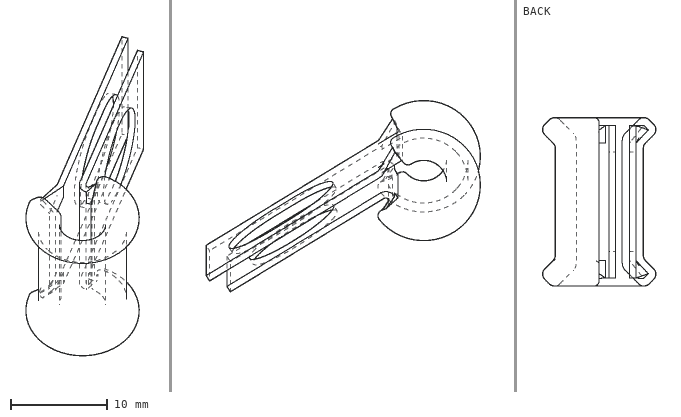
import cadquery as cq
import math


bore_radius = 2.385
wall = 2.2
tube_radius = bore_radius + wall
flare_radius = 5.885
half_height = 8.735
tip_round = 0.75
outer_bend_radius = 0.75
inner_bend_radius = 1.05
end_round = 0.55
tube_sweep = 270
end_extension = 0.63

plate_thickness = 0.68
plate_half_width = 7.9
plate_center = bore_radius + wall / 2
plate_inner = plate_center - plate_thickness / 2
plate_outer = plate_center + plate_thickness / 2
long_plate_end = 24.185
short_plate_end = 22.96
short_plate_face = -1.03
plate_bend_radius = 0.4

tab_root = 6.1
tab_tip_radius = 4.845
long_tab_start = 3.15
short_tab_start = short_plate_face + plate_bend_radius

hole_y = 15.05
hole_diameter = 10.3
slot_length = 12.7

SIN45 = math.sin(math.radians(45))
bend_sag = 1 - SIN45

rim_step = (wall - 2 * tip_round) * SIN45
outer_rim = (flare_radius - tip_round, half_height - tip_round - rim_step)
inner_rim = (outer_rim[0] - rim_step, outer_rim[1] + rim_step)

outer_cone = outer_rim[1] - outer_rim[0] - tip_round / SIN45
inner_cone = outer_cone + wall / SIN45
middle_cone = (outer_cone + inner_cone) / 2


def on_circle(center, radius, degrees):
    """Point on a circle at an angle from the first axis."""
    angle = math.radians(degrees)
    return (center[0] + radius * math.cos(angle), center[1] + radius * math.sin(angle))


def bend(surface_radius, bend_radius, cone):
    """Start, middle and end of the arc from a cylinder into a flare cone."""
    end_radius = surface_radius + bend_radius * bend_sag
    start_height = end_radius + cone - bend_radius * SIN45
    center = (surface_radius + bend_radius, start_height)
    return [on_circle(center, bend_radius, degrees) for degrees in (180, 157.5, 135)]


def wall_section():
    """Closed wall section in the XZ plane, on the +X side of the tube axis."""
    outer_start, outer_middle, outer_end = bend(tube_radius, outer_bend_radius, outer_cone)
    inner_start, inner_middle, inner_end = bend(bore_radius, inner_bend_radius, inner_cone)
    return (
        cq.Workplane("XZ")
        .moveTo(tube_radius, 0)
        .lineTo(*outer_start)
        .threePointArc(outer_middle, outer_end)
        .lineTo(*on_circle(outer_rim, tip_round, -45))
        .threePointArc(on_circle(outer_rim, tip_round, 0), on_circle(outer_rim, tip_round, 45))
        .lineTo(*on_circle(inner_rim, tip_round, 45))
        .threePointArc(on_circle(inner_rim, tip_round, 90), on_circle(inner_rim, tip_round, 135))
        .lineTo(*inner_end)
        .threePointArc(inner_middle, inner_start)
        .lineTo(bore_radius, 0)
        .mirrorX()
    )


def flared_tube():
    """Open tube from the +Y end round to the straight -X end, both ends rounded."""
    arc = wall_section().revolve(tube_sweep, (0, 0, 0), (0, 1, 0))
    arc = arc.rotate((0, 0, 0), (0, 0, 1), 180)
    straight = wall_section().extrude(end_extension).rotate((0, 0, 0), (0, 0, 1), 180)
    tube = arc.union(straight)
    straight_end = tube.faces("+Y").edges().vals()
    curved_end = tube.faces("-X").edges().vals()
    return tube.newObject(straight_end + curved_end).fillet(end_round)


def upper_tab(length):
    """Upper tab lofted from the upright plate edge at y = length to the slanted flare at y = 0."""
    half_x = plate_thickness / 2 * SIN45
    tip_height = tab_tip_radius + middle_cone
    return (
        cq.Workplane("XZ")
        .polyline([
            (-plate_outer, tab_root),
            (-plate_outer, plate_half_width),
            (-plate_inner, plate_half_width),
            (-plate_inner, tab_root),
        ])
        .close()
        .workplane(offset=length)
        .polyline([
            (-plate_outer, tab_root),
            (-tab_tip_radius - half_x, tip_height - half_x),
            (-tab_tip_radius + half_x, tip_height + half_x),
            (-plate_inner, tab_root),
        ])
        .close()
        .loft(ruled=True)
        .translate((0, length, 0))
    )


def both_tabs(length):
    """Upper tab and its mirror image at the lower flare."""
    tab = upper_tab(length)
    return tab.union(tab.mirror("XY"))


def long_plate():
    """Plate leaving the straight tube end along +Y, with a slotted opening."""
    plate_length = long_plate_end - long_tab_start
    tab_length = long_tab_start - end_extension
    plate = (
        cq.Workplane("XY")
        .box(plate_thickness, plate_length, 2 * plate_half_width, centered=(True, False, True))
        .translate((-plate_center, long_tab_start, 0))
    )
    web = (
        cq.Workplane("XY")
        .box(plate_thickness, tab_length, 2 * tab_root, centered=(True, False, True))
        .translate((-plate_center, end_extension, 0))
    )
    slot = (
        cq.Workplane("YZ", origin=(-plate_center, hole_y, 0))
        .slot2D(slot_length, hole_diameter)
        .extrude(plate_thickness, both=True)
    )
    tabs = both_tabs(tab_length).translate((0, end_extension, 0))
    return plate.union(web).union(tabs).cut(slot)


def short_plate():
    """Plate leaving the curved tube end along -X and bending to +Y, with a round hole."""
    outer_face = short_plate_face - plate_thickness
    bend_center = (short_tab_start, plate_outer + plate_bend_radius)
    outside_radius = plate_bend_radius + plate_thickness
    plate = (
        cq.Workplane("XY", origin=(0, 0, -plate_half_width))
        .moveTo(short_tab_start, plate_inner)
        .threePointArc(on_circle(bend_center, outside_radius, 225), (outer_face, bend_center[1]))
        .lineTo(outer_face, short_plate_end)
        .lineTo(short_plate_face, short_plate_end)
        .lineTo(short_plate_face, bend_center[1])
        .threePointArc(on_circle(bend_center, plate_bend_radius, 225), (short_tab_start, plate_outer))
        .close()
        .extrude(2 * plate_half_width)
    )
    web = (
        cq.Workplane("XY")
        .box(-short_tab_start, plate_thickness, 2 * tab_root, centered=(False, True, True))
        .translate((short_tab_start, plate_center, 0))
    )
    hole = (
        cq.Workplane("YZ", origin=(short_plate_face, hole_y, 0))
        .circle(hole_diameter / 2)
        .extrude(-plate_thickness)
    )
    tabs = both_tabs(-short_tab_start).mirror("YZ").rotate((0, 0, 0), (0, 0, 1), 90)
    return plate.union(web).union(tabs).cut(hole)


result = flared_tube().union(long_plate()).union(short_plate())